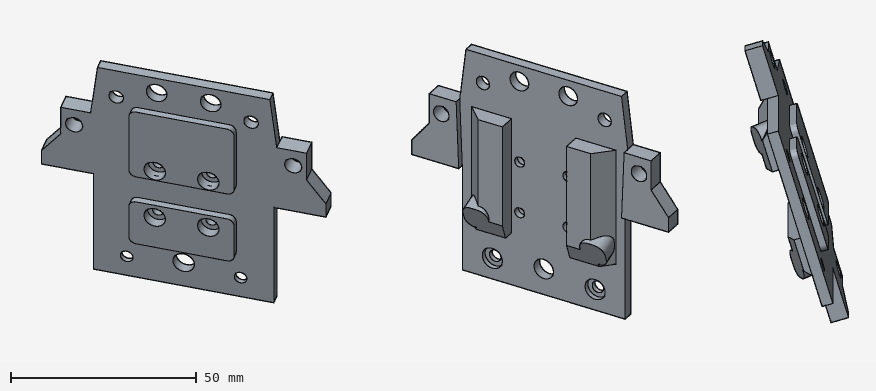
import cadquery as cq


plate_thickness = 3.0
plate_height = 70.0
body_half_width = 25.4
top_half_width = 24.2
shoulder_half_width = 26.2

wing_thickness = 5.0
wing_half_span = 40.0
wing_shoulder_x = 34.6
wing_bottom_z = 33.0
wing_tip_z = 37.6
wing_shoulder_z = 44.6
wing_top_z = 53.8

pad_thickness = 2.0
pad_width = 29.6
pad_corner_radius = 2.0
pad_spans_z = [(13.2, 27.7), (36.3, 58.7)]

block_rise = 5.0
block_inner_x = 10.0
block_outer_x = 22.5
block_bottom_z = 16.5
block_top_z = 52.5

boss_tilt = 20.0
boss_size = 8.0
boss_corner_radius = 3.0
boss_x = 18.2
boss_tip_y = 9.3
boss_tip_z = 24.7
boss_length = 9.6

counterbore_diameter = 6.0
screw_diameter = 3.0
screw_x = 7.5
screw_rows = [(23.5, 3.0), (39.5, 3.5)]

paired_holes = [
    (5.8, 7.6, 65.0),
    (4.1, 19.0, 61.0),
    (4.8, 30.8, 48.6),
]

lower_hole_diameter = 3.5
lower_hole_x = 16.0
lower_hole_z = 6.6
rear_counterbore_diameter = 6.2
rear_counterbore_depth = 1.5

center_hole_diameter = 6.0
center_hole_z = 8.1


def extrude_back(outline, thickness, front_y=0.0):
    """Extrude an X-Z outline toward +Y, starting at front_y."""
    return outline.extrude(-thickness).translate((0, front_y, 0))


def mirrored(solid):
    """The solid together with its mirror image about X = 0."""
    return solid.union(solid.mirror("YZ"))


def make_plate():
    """Plate whose sides lean outward to the shoulders beside the wings, then inward to the top edge."""
    right_side = [
        (body_half_width, 0),
        (body_half_width, wing_bottom_z),
        (shoulder_half_width, wing_top_z),
        (top_half_width, plate_height),
    ]
    left_side = [(-x, z) for x, z in reversed(right_side)]
    return extrude_back(cq.Workplane("XZ").polyline(right_side + left_side).close(), plate_thickness)


def make_wing():
    """Right wing; its inner edge follows the leaning side of the plate."""
    outline = [
        (body_half_width, wing_bottom_z),
        (wing_half_span, wing_bottom_z),
        (wing_half_span, wing_tip_z),
        (wing_shoulder_x, wing_shoulder_z),
        (wing_shoulder_x, wing_top_z),
        (shoulder_half_width, wing_top_z),
    ]
    return extrude_back(cq.Workplane("XZ").polyline(outline).close(), wing_thickness)


def make_pad(bottom_z, top_z):
    pad = cq.Workplane("XZ").center(0, (bottom_z + top_z) / 2).rect(pad_width, top_z - bottom_z)
    pad = extrude_back(pad, pad_thickness, -pad_thickness)
    return pad.edges("|Y").fillet(pad_corner_radius)


def boss_plane():
    """Plane of the end face of a boss: origin at its upper edge, tilted to face slightly downward."""
    upright = cq.Plane(origin=(boss_x, boss_tip_y, boss_tip_z), xDir=(-1, 0, 0), normal=(0, 1, 0))
    return upright.rotated((boss_tilt, 0, 0))


def make_block():
    crest_y = plate_thickness + block_rise
    section = [
        (block_inner_x, 0),
        (block_outer_x, 0),
        (block_outer_x, plate_thickness),
        (block_outer_x - block_rise, crest_y),
        (block_inner_x, crest_y),
    ]
    block = cq.Workplane("XY", origin=(0, 0, block_bottom_z)).polyline(section).close()
    block = block.extrude(block_top_z - block_bottom_z)
    trim_size = 2 * block_top_z
    beyond_end_face = cq.Workplane(boss_plane()).rect(trim_size, trim_size).extrude(trim_size)
    return block.cut(beyond_end_face)


def make_boss():
    profile = cq.Sketch().rect(boss_size, boss_size).vertices().fillet(boss_corner_radius)
    boss = cq.Workplane(boss_plane()).center(0, -boss_size / 2).placeSketch(profile).extrude(-boss_length)
    rear_space = cq.Workplane("XY").box(
        wing_half_span, boss_tip_y, plate_height, centered=(False, False, False)
    )
    return boss.intersect(rear_space)


def hole_pair(diameter, x, z, front_y, depth):
    """Cutters for two mirrored holes running from front_y toward +Y."""
    cutter = cq.Workplane("XZ").pushPoints([(-x, z), (x, z)]).circle(diameter / 2)
    return extrude_back(cutter, depth, front_y)


result = make_plate().union(mirrored(make_wing()))
for bottom_z, top_z in pad_spans_z:
    result = result.union(make_pad(bottom_z, top_z))
result = result.union(mirrored(make_block())).union(mirrored(make_boss()))

for diameter, x, z in paired_holes:
    result = result.cut(hole_pair(diameter, x, z, 0, wing_thickness))
center_hole = cq.Workplane("XZ").center(0, center_hole_z).circle(center_hole_diameter / 2)
result = result.cut(extrude_back(center_hole, plate_thickness))

for z, counterbore_depth in screw_rows:
    result = result.cut(hole_pair(screw_diameter, screw_x, z, -pad_thickness, pad_thickness + plate_thickness))
    result = result.cut(hole_pair(counterbore_diameter, screw_x, z, -pad_thickness, counterbore_depth))

result = result.cut(hole_pair(lower_hole_diameter, lower_hole_x, lower_hole_z, 0, plate_thickness))
rear_counterbore_y = plate_thickness - rear_counterbore_depth
result = result.cut(
    hole_pair(rear_counterbore_diameter, lower_hole_x, lower_hole_z, rear_counterbore_y, rear_counterbore_depth)
)